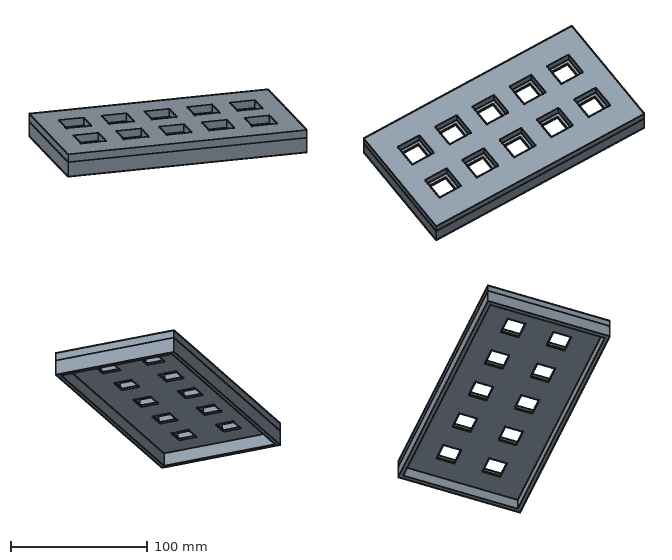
import cadquery as cq

WIDTH = 96.0
LENGTH = 184.0
HEIGHT = 17.5
COVER_THICKNESS = 6.0
TRAY_HEIGHT = HEIGHT - COVER_THICKNESS

WEB_THICKNESS = 1.5
WALL_THICKNESS = 3.0

COLUMNS = 2
ROWS = 5
COLUMN_PITCH = 36.0
ROW_PITCH = 33.0
COVER_OPENING = 19.1
TRAY_OPENING = 14.0


def plate(width, length, height, base_z):
    """Centred rectangular block standing on base_z."""
    return cq.Workplane("XY").workplane(offset=base_z).rect(width, length).extrude(height)


def square_openings(size, height, base_z):
    """Grid of square cutters standing on base_z."""
    return (
        cq.Workplane("XY")
        .workplane(offset=base_z)
        .rarray(COLUMN_PITCH, ROW_PITCH, COLUMNS, ROWS)
        .rect(size, size)
        .extrude(height)
    )


def make_tray():
    """Lower body: hollow from below, with the smaller openings through its web."""
    cavity_width = WIDTH - 2 * WALL_THICKNESS
    cavity_length = LENGTH - 2 * WALL_THICKNESS
    cavity_height = TRAY_HEIGHT - WEB_THICKNESS
    cavity = plate(cavity_width, cavity_length, cavity_height, 0)
    openings = square_openings(TRAY_OPENING, TRAY_HEIGHT, 0)
    return plate(WIDTH, LENGTH, TRAY_HEIGHT, 0).cut(cavity).cut(openings)


def make_cover():
    """Upper body: flat plate with the larger openings, leaving a ledge around each tray opening."""
    openings = square_openings(COVER_OPENING, COVER_THICKNESS, TRAY_HEIGHT)
    return plate(WIDTH, LENGTH, COVER_THICKNESS, TRAY_HEIGHT).cut(openings)


tray = make_tray()
cover = make_cover()

result = cq.Compound.makeCompound([tray.val(), cover.val()])